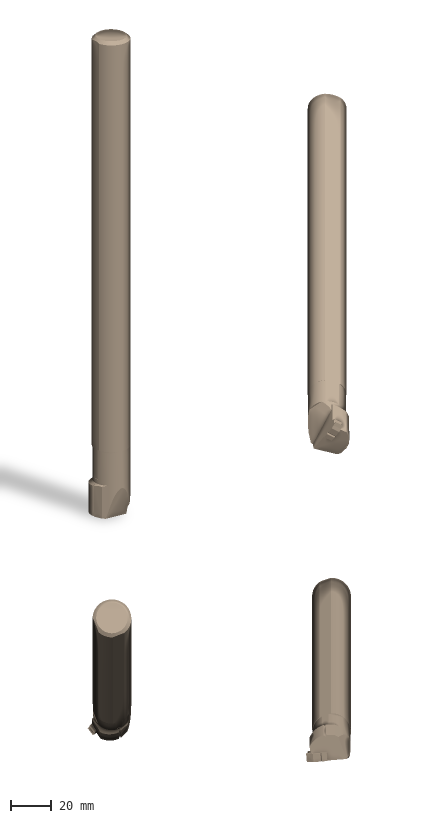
import cadquery as cq
import math

TOP_Z = 254.0
SHANK_R = 19.0 / 2
END_CHAMFER_HEIGHT = 1.5
END_CHAMFER_WIDTH = 1.8
NECK_Y = 0.18
NECK_R = SHANK_R - NECK_Y
NECK_TOP_Z = 36.3
FLAT_BOTTOM_Z = 20.5
FRONT_FLAT_Y = 0.5 - SHANK_R
LEFT_FLAT_X = 0.9 - SHANK_R

HEAD_BOTTOM_Z = 0.8
HEAD_TOP_Z = 18.3
FLARE_GROWTH = 3.0
HEAD_ARC_R = 21.5 / 2
HEAD_ARC_X = -1.0
HEAD_ARC_Y = 0.3
SIDE_TOP = (-10.5, 0.5)
SIDE_BOTTOM_Y = -7.0
ARC_END_X = 0.5
FACET_CORNER = (4.8, -8.6)
FACET_END_X = 7.0
GROOVE_LEFT_X = -0.5
GROOVE_ROOT_Y = -9.5
TAPER_TOP_Z = 16.5
TAPER_BOTTOM_X = 6.0

RAKE_ANGLE = 15.0
RUNOUT_ANGLE = 31.5
RUNOUT_OFFSET = 8.6
RUNOUT_SLOPE = 0.5
CUT_SIZE = 38.0

INSERT_THICKNESS = 4.3
INSERT_OUTLINE = [
    (0.3, 5.8),
    (-1.8, 4.5),
    (-1.0, 3.8),
    (-1.0, 2.3),
    (-2.5, 1.5),
    (-0.8, 0.8),
    (0.8, 0.0),
    (4.0, 0.0),
    (4.5, 0.5),
    (5.0, 0.0),
    (7.5, 0.0),
    (8.0, 0.8),
    (5.3, 5.8),
]


def neck_cylinder(bottom_z, top_z):
    plane = cq.Workplane("XY").workplane(offset=bottom_z)
    return plane.center(0, NECK_Y).circle(NECK_R).extrude(top_z - bottom_z)


def arc_dx(y):
    """Half width of the head arc at y."""
    return math.sqrt(HEAD_ARC_R**2 - (y - HEAD_ARC_Y)**2)


def arc_bottom_y(x):
    """Lowest point of the head arc at x."""
    return HEAD_ARC_Y - math.sqrt(HEAD_ARC_R**2 - (x - HEAD_ARC_X)**2)


def vertical_plane(angle, point):
    """Plane whose local x runs horizontally at angle, local y is Z, and normal points to -Y."""
    turn = math.radians(angle)
    return cq.Plane(
        origin=(point[0], point[1], 0),
        xDir=(math.cos(turn), math.sin(turn), 0),
        normal=(math.sin(turn), -math.cos(turn), 0),
    )


def make_shank():
    inner_r = SHANK_R - END_CHAMFER_WIDTH
    profile = [
        (0, NECK_TOP_Z),
        (SHANK_R, NECK_TOP_Z),
        (SHANK_R, TOP_Z - END_CHAMFER_HEIGHT),
        (inner_r, TOP_Z),
        (0, TOP_Z),
    ]
    shank = cq.Workplane("XZ").polyline(profile).close().revolve(360, (0, 0), (0, 1))
    shank = shank.union(neck_cylinder(HEAD_TOP_Z, NECK_TOP_Z))
    blank = cq.Workplane("XY").workplane(offset=FLAT_BOTTOM_Z)
    flat_length = TOP_Z - FLAT_BOTTOM_Z
    front_cut = blank.center(0, FRONT_FLAT_Y - SHANK_R).rect(CUT_SIZE, 2 * SHANK_R).extrude(flat_length)
    left_cut = blank.center(LEFT_FLAT_X - SHANK_R, 0).rect(2 * SHANK_R, CUT_SIZE).extrude(flat_length)
    return shank.cut(front_cut).cut(left_cut)


def make_head():
    height = HEAD_TOP_Z - HEAD_BOTTOM_Z
    facet_end_y = NECK_Y - math.sqrt(NECK_R**2 - FACET_END_X**2)
    arc_end = (ARC_END_X, arc_bottom_y(ARC_END_X))
    lobe = (
        cq.Workplane("XY").workplane(offset=HEAD_BOTTOM_Z)
        .moveTo(*SIDE_TOP)
        .lineTo(HEAD_ARC_X - arc_dx(SIDE_BOTTOM_Y), SIDE_BOTTOM_Y)
        .threePointArc((HEAD_ARC_X, HEAD_ARC_Y - HEAD_ARC_R), arc_end)
        .lineTo(*FACET_CORNER)
        .lineTo(FACET_END_X, facet_end_y)
        .lineTo(0, 0)
        .lineTo(0, SIDE_TOP[1] - SIDE_TOP[0] * math.tan(math.radians(RAKE_ANGLE)))
        .close().extrude(height)
    )
    groove = (
        cq.Workplane("XY").workplane(offset=HEAD_BOTTOM_Z)
        .polyline([
            (GROOVE_LEFT_X, -CUT_SIZE),
            (GROOVE_LEFT_X, arc_bottom_y(GROOVE_LEFT_X)),
            (ARC_END_X, GROOVE_ROOT_Y),
            (ARC_END_X, -CUT_SIZE),
        ]).close().extrude(height)
    )
    flare_r = NECK_R + FLARE_GROWTH
    flare = (
        cq.Workplane("XZ")
        .polyline([
            (0, HEAD_BOTTOM_Z),
            (flare_r, HEAD_BOTTOM_Z),
            (flare_r, HEAD_TOP_Z - FLARE_GROWTH),
            (NECK_R, HEAD_TOP_Z),
            (0, HEAD_TOP_Z),
        ]).close().revolve(360, (0, 0), (0, 1))
        .translate((0, NECK_Y, 0))
    )
    head = lobe.cut(groove).intersect(flare).union(neck_cylinder(HEAD_BOTTOM_Z, HEAD_TOP_Z))
    taper = (
        cq.Workplane("XZ")
        .polyline([
            (NECK_R, TAPER_TOP_Z),
            (TAPER_BOTTOM_X, HEAD_BOTTOM_Z),
            (CUT_SIZE, HEAD_BOTTOM_Z),
            (CUT_SIZE, TAPER_TOP_Z),
        ]).close().extrude(CUT_SIZE, both=True)
    )
    return head.cut(taper)


def make_rake_cut():
    """Space behind the rake plane and below the sloping run-out."""
    behind_rake = (
        cq.Workplane(vertical_plane(RAKE_ANGLE, SIDE_TOP))
        .rect(2 * CUT_SIZE, 2 * CUT_SIZE).extrude(-CUT_SIZE)
    )
    bottom_offset = RUNOUT_OFFSET - RUNOUT_SLOPE * FLAT_BOTTOM_Z
    below_runout = (
        cq.Workplane("YZ")
        .polyline([
            (bottom_offset, 0),
            (RUNOUT_OFFSET, FLAT_BOTTOM_Z),
            (CUT_SIZE, FLAT_BOTTOM_Z),
            (CUT_SIZE, 0),
        ]).close().extrude(CUT_SIZE, both=True)
        .rotate((0, 0, 0), (0, 0, 1), RUNOUT_ANGLE)
    )
    return behind_rake.intersect(below_runout)


def make_insert():
    return (
        cq.Workplane(vertical_plane(RAKE_ANGLE, SIDE_TOP))
        .polyline(INSERT_OUTLINE).close().extrude(INSERT_THICKNESS)
    )


insert = make_insert()
holder = make_shank().union(make_head()).cut(make_rake_cut()).cut(insert)

result = cq.Compound.makeCompound([holder.val(), insert.val()])